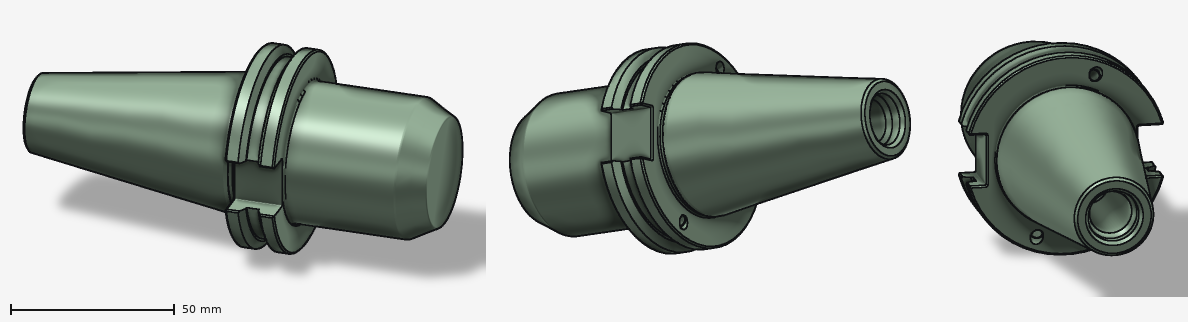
import cadquery as cq
import math

TOTAL_LENGTH = 132.2
FULL_TURN = 360
X_AXIS = ((0, 0, 0), (1, 0, 0))
Y_AXIS = ((0, 0, 0), (0, 1, 0))

TAPER_LENGTH = 68.1
TAPER_RADIUS = 22.2
TAPER_SLOPE = 7 / 48
TAPER_END_CHAMFER = 0.8
GAUGE_BAND_END = 69.5
NECK_RADIUS = 21.8
NECK_ROOT_FILLET = 0.5

FLANGE_START = 71.4
FLANGE_END = 87.3
FLANGE_RADIUS = 31.6
FLANGE_FACE_CHAMFER = 0.5
GROOVE_CENTRE = 79.4
GROOVE_MOUTH_WIDTH = 7.3
GROOVE_FLOOR_WIDTH = 4.0
GROOVE_FLOOR_RADIUS = 28.2
GROOVE_SIDE_RADIUS = 29.0
GROOVE_OVERCUT = 1.3

SLOT_HALF_WIDTH = 8.1
SLOT_FLOOR_PLUS_Y = 25.0
SLOT_FLOOR_MINUS_Y = 22.5
SLOT_EDGE_CHAMFER = 0.5
SLOT_CORNER_FILLET = 0.4

NOSE_RADIUS = 22.1
NOSE_ROOT_FILLET = 0.8
NOSE_CONE_START = 123.4
NOSE_END_RADIUS = 17.3
NOSE_EDGE_FILLET = 1.3
NOSE_END_FILLET = 0.8

BORE_MOUTH_RADIUS = 9.0
BORE_ENTRY_RADIUS = 8.0
BORE_RADIUS = 6.6
BORE_CONE_END = 1.3
BORE_STEP_START = 4.2
BORE_STEP_END = 5.7
BORE_DEPTH = 39.7
DRILL_POINT_ANGLE = 118.0

COOLANT_OFFSET = 27.0
COOLANT_ANGLE_FROM_Z = 20.0
COOLANT_TILT = 30.0
COOLANT_MOUTH_RADIUS = 2.0
COOLANT_MOUTH_DEPTH = 1.6
COOLANT_RADIUS = 1.7
COOLANT_DEPTH = 15.9


def revolve_about_x(points):
    """Solid of revolution about X from a closed outline of (x, radius) points."""
    return cq.Workplane("XZ").polyline(points).close().revolve(FULL_TURN, *X_AXIS)


def make_shank():
    """Taper, gauge band and neck, running into the flange."""
    small_radius = TAPER_RADIUS - TAPER_SLOPE * TAPER_LENGTH
    shank = revolve_about_x([
        (0, 0),
        (0, small_radius),
        (TAPER_LENGTH, TAPER_RADIUS),
        (GAUGE_BAND_END, TAPER_RADIUS),
        (GAUGE_BAND_END, NECK_RADIUS),
        (GROOVE_CENTRE, NECK_RADIUS),
        (GROOVE_CENTRE, 0),
    ])
    return shank.faces("<X").edges().chamfer(TAPER_END_CHAMFER)


def make_nose():
    """Cylinder with a coned end and softened edges."""
    nose = revolve_about_x([
        (GROOVE_CENTRE, 0),
        (GROOVE_CENTRE, NOSE_RADIUS),
        (NOSE_CONE_START, NOSE_RADIUS),
        (TOTAL_LENGTH, NOSE_END_RADIUS),
        (TOTAL_LENGTH, 0),
    ])
    nose = nose.faces(">X").edges().fillet(NOSE_END_FILLET)
    shoulder = cq.selectors.RadiusNthSelector(-1)
    return nose.edges("%CIRCLE and (not <X)").edges(shoulder).fillet(NOSE_EDGE_FILLET)


def make_slot(side, floor):
    """Cutter for one drive slot, open outwards along side * Y and clearing the nose root fillet."""
    length = FLANGE_END + NOSE_ROOT_FILLET - FLANGE_START
    depth = FLANGE_RADIUS
    return (
        cq.Workplane("XY")
        .box(length, depth, 2 * SLOT_HALF_WIDTH)
        .faces("<Y" if side > 0 else ">Y")
        .edges("|X")
        .fillet(SLOT_CORNER_FILLET)
        .translate((FLANGE_START + length / 2, side * (floor + depth / 2), 0))
    )


def cut_slots(solid):
    """Cut both drive slots; their floors lie at different distances from the axis."""
    return solid.cut(make_slot(1, SLOT_FLOOR_PLUS_Y)).cut(make_slot(-1, SLOT_FLOOR_MINUS_Y))


def make_groove():
    """V-groove ring cutter: narrow flat floor, short square sides, then flaring flanks."""
    half_floor = GROOVE_FLOOR_WIDTH / 2
    half_mouth = GROOVE_MOUTH_WIDTH / 2
    half_profile = [
        (half_floor, GROOVE_FLOOR_RADIUS),
        (half_floor, GROOVE_SIDE_RADIUS),
        (half_mouth, FLANGE_RADIUS),
        (half_mouth, FLANGE_RADIUS + GROOVE_OVERCUT),
    ]
    right = [(GROOVE_CENTRE + x, r) for x, r in half_profile]
    left = [(GROOVE_CENTRE - x, r) for x, r in reversed(half_profile)]
    return revolve_about_x(right + left)


def make_flange():
    """Disc with two drive slots, edge chamfers and the gripper groove."""
    flange = (
        cq.Workplane("YZ", origin=(FLANGE_START, 0, 0))
        .circle(FLANGE_RADIUS)
        .extrude(FLANGE_END - FLANGE_START)
    )
    flange = cut_slots(flange)
    rim_edges = flange.edges("|X").filter(
        lambda e: math.hypot(e.Center().y, e.Center().z) > GROOVE_FLOOR_RADIUS
    )
    flange = rim_edges.chamfer(SLOT_EDGE_CHAMFER)
    flange = flange.faces("<X").edges().chamfer(FLANGE_FACE_CHAMFER)
    right_rim = flange.faces(">X").edges("%CIRCLE").filter(
        lambda e: e.radius() > GROOVE_FLOOR_RADIUS
    )
    flange = right_rim.chamfer(FLANGE_FACE_CHAMFER)
    return flange.cut(make_groove())


def make_bore():
    """Stepped blind bore with a drill-point bottom."""
    point_length = BORE_RADIUS / math.tan(math.radians(DRILL_POINT_ANGLE / 2))
    return revolve_about_x([
        (0, 0),
        (0, BORE_MOUTH_RADIUS),
        (BORE_CONE_END, BORE_ENTRY_RADIUS),
        (BORE_STEP_START, BORE_ENTRY_RADIUS),
        (BORE_STEP_END, BORE_RADIUS),
        (BORE_DEPTH, BORE_RADIUS),
        (BORE_DEPTH + point_length, 0),
    ])


def make_coolant_hole(angle):
    """Stepped hole drilled from the flange face, turned by angle about X from +Z."""
    hole = revolve_about_x([
        (-COOLANT_MOUTH_RADIUS, 0),
        (-COOLANT_MOUTH_RADIUS, COOLANT_MOUTH_RADIUS),
        (COOLANT_MOUTH_DEPTH, COOLANT_MOUTH_RADIUS),
        (COOLANT_MOUTH_DEPTH, COOLANT_RADIUS),
        (COOLANT_DEPTH, COOLANT_RADIUS),
        (COOLANT_DEPTH, 0),
    ])
    return (
        hole.rotate(*Y_AXIS, COOLANT_TILT)
        .translate((FLANGE_START, 0, COOLANT_OFFSET))
        .rotate(*X_AXIS, angle)
    )


def make_root_fillet(face_x, outward, shaft_radius, fillet):
    """Concave ring between a shaft and the flange face at face_x; outward is +1 or -1 along X."""
    bend = fillet * (1 - math.sqrt(0.5))
    return (
        cq.Workplane("XZ")
        .moveTo(face_x, shaft_radius - fillet)
        .lineTo(face_x + outward * fillet, shaft_radius - fillet)
        .lineTo(face_x + outward * fillet, shaft_radius)
        .threePointArc(
            (face_x + outward * bend, shaft_radius + bend),
            (face_x, shaft_radius + fillet),
        )
        .close()
        .revolve(FULL_TURN, *X_AXIS)
    )


neck_root = make_root_fillet(FLANGE_START, -1, NECK_RADIUS, NECK_ROOT_FILLET)
nose_root = cut_slots(make_root_fillet(FLANGE_END, 1, NOSE_RADIUS, NOSE_ROOT_FILLET))

body = make_shank().union(make_flange()).union(make_nose())
body = body.union(neck_root).union(nose_root)
body = body.cut(make_bore())
for turn in (0, FULL_TURN / 2):
    body = body.cut(make_coolant_hole(COOLANT_ANGLE_FROM_Z + turn))

result = body